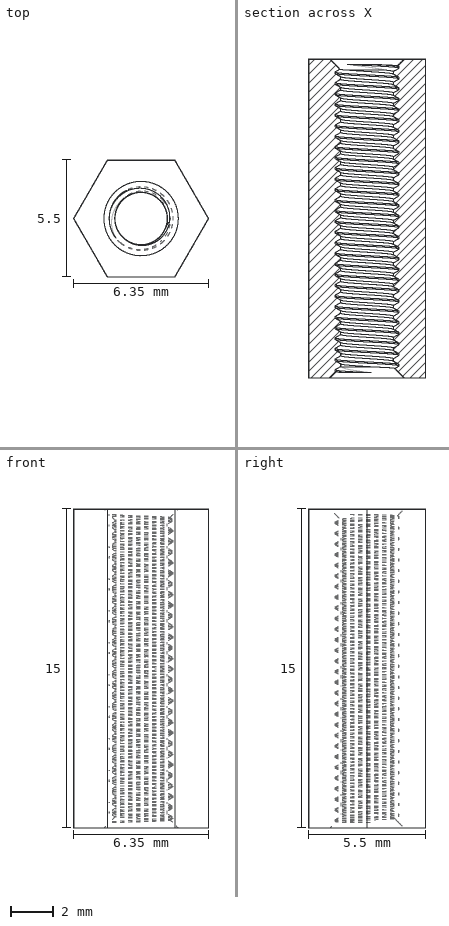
import cadquery as cq
import math

sides = 6
across_flats = 5.5
across_corners = across_flats / math.cos(math.pi / sides)
length = 15.0

major_diameter = 3.0
pitch = 0.5
flank_angle = 30.0
sharp_profile_height = pitch / (2 * math.tan(math.radians(flank_angle)))
thread_depth = sharp_profile_height * 5 / 8
minor_diameter = major_diameter - 2 * thread_depth
root_width = pitch / 8
bore_overlap = 0.05
thread_start_angle = 15.0

lead_in_diameter = 3.5
lead_in_half_angle = 45.0


def hexagonal_body():
    """Hexagonal bar with two corners on the X axis, standing on Z = 0."""
    return cq.Workplane("XY").polygon(sides, across_corners).extrude(length)


def thread_groove():
    """Right-hand helical groove that runs out past both ends of the body."""
    inner_radius = minor_diameter / 2 - bore_overlap
    outer_radius = major_diameter / 2
    half_root = root_width / 2
    half_mouth = half_root + (outer_radius - inner_radius) * math.tan(math.radians(flank_angle))
    profile = [
        (inner_radius, -half_mouth),
        (outer_radius, -half_root),
        (outer_radius, half_root),
        (inner_radius, half_mouth),
    ]
    helix = cq.Workplane(cq.Wire.makeHelix(pitch, length + 2 * pitch, outer_radius))
    groove = cq.Workplane("XZ").polyline(profile).close().sweep(helix, isFrenet=True)
    return groove.translate((0, 0, -pitch)).rotate((0, 0, 0), (0, 0, 1), thread_start_angle)


def bottom_lead_in():
    """Full cone pointing up from the bottom face."""
    radius = lead_in_diameter / 2
    depth = radius / math.tan(math.radians(lead_in_half_angle))
    half_section = cq.Workplane("XZ").polyline([(0, 0), (radius, 0), (0, depth)]).close()
    return half_section.revolve(360, (0, 0), (0, 1))


def top_lead_in():
    """Full cone pointing down from the top face."""
    return bottom_lead_in().mirror("XY").translate((0, 0, length))


def bore():
    """Through hole at the minor diameter of the thread."""
    return cq.Workplane("XY").circle(minor_diameter / 2).extrude(length)


body = hexagonal_body()
body = body.cut(thread_groove())
body = body.cut(bottom_lead_in()).cut(top_lead_in())
result = body.cut(bore())